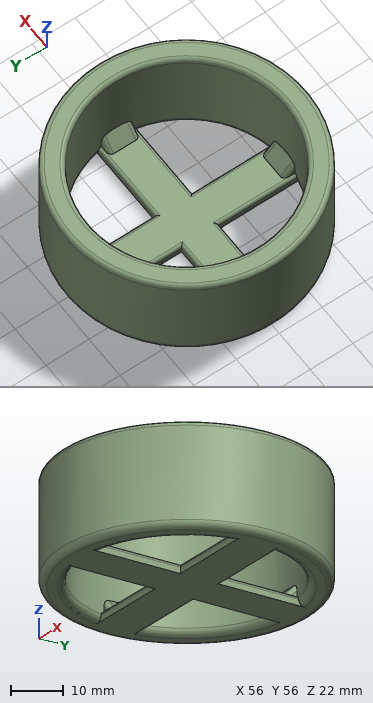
import cadquery as cq

OUTER_RADIUS = 28.0
INNER_RADIUS = 23.0
HEIGHT = 22.0
RIM_FILLET = 1.0
BASE_FILLET = 1.5

BAR_WIDTH = 8.6
BAR_THICKNESS = 2.0
BAR_EDGE_FILLET = 0.7
WALL_OVERLAP = BASE_FILLET

WEDGE_WIDTH = BAR_WIDTH - 2 * BAR_EDGE_FILLET
WEDGE_RUN = 3.0
WEDGE_RISE = 3.0
WEDGE_FILLET = 1.0
WEDGE_COUNT = 4


def make_ring():
    """Upright ring with rounded edges at both ends."""
    ring = cq.Workplane("XY").circle(OUTER_RADIUS).circle(INNER_RADIUS).extrude(HEIGHT)
    ring = ring.faces(">Z").edges().fillet(RIM_FILLET)
    return ring.faces("<Z").edges().fillet(BASE_FILLET)


def make_cross():
    """Two crossing bars with rounded long top edges."""
    length = 2 * (INNER_RADIUS + WALL_OVERLAP)
    along_x = cq.Workplane("XY").box(length, BAR_WIDTH, BAR_THICKNESS, centered=(True, True, False))
    along_y = along_x.rotate((0, 0, 0), (0, 0, 1), 90)
    cross = along_x.union(along_y)
    long_top_edges = cross.faces(">Z").edges("not(<X or >X or <Y or >Y)")
    return long_top_edges.fillet(BAR_EDGE_FILLET)


def make_wedge():
    """Sloped block on the +X end of a bar, rounded along both sides."""
    toe = INNER_RADIUS - WEDGE_RUN
    back = INNER_RADIUS + WALL_OVERLAP
    back_height = BAR_THICKNESS + (back - toe) * WEDGE_RISE / WEDGE_RUN
    wedge = (
        cq.Workplane("XZ")
        .moveTo(toe, BAR_THICKNESS)
        .lineTo(back, BAR_THICKNESS)
        .lineTo(back, back_height)
        .close()
        .extrude(WEDGE_WIDTH / 2, both=True)
    )
    slope_side_edges = wedge.edges("not(|X or |Y or |Z)")
    return slope_side_edges.fillet(WEDGE_FILLET)


result = make_ring().union(make_cross())
for index in range(WEDGE_COUNT):
    angle = index * 360 / WEDGE_COUNT
    result = result.union(make_wedge().rotate((0, 0, 0), (0, 0, 1), angle))